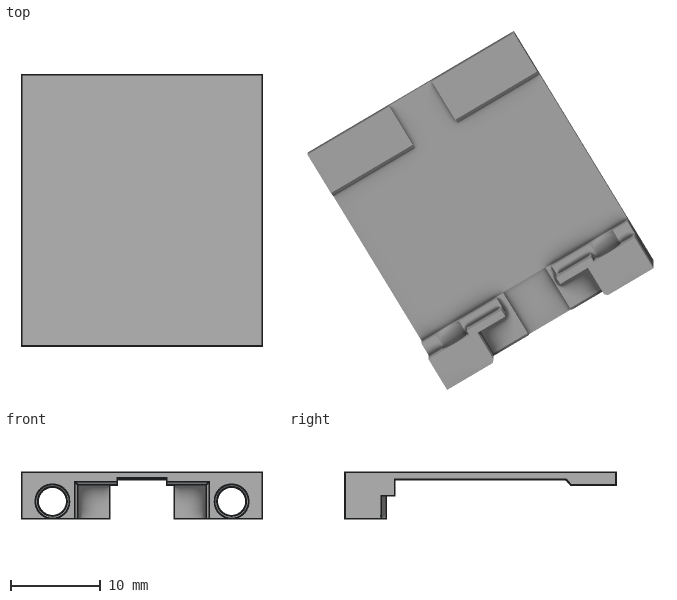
import cadquery as cq

width = 26.85
length = 30.3
height = 5.2
plate_thickness = 0.85

lip_depth = 1.45
lip_length = 5.05
ramp_length = 0.55

block_length = 4.05
shelf_end = 5.6
shelf_depth = 2.67

pocket_width = 14.35
pocket_length = 3.82
pocket_ceiling = 1.4
mouth_chamfer = 0.3
tab_gap = 7.15
tab_end = 4.65
tab_overlap = 0.9

channel_width = 5.5
channel_depth = 0.6

hole_diameter = 3.2
hole_inset = 3.42
hole_height = 1.95
hole_chamfer = 0.3


def box(x_start, x_end, y_start, y_end, z_bottom, z_top):
    """Box between the given limits."""
    return cq.Workplane("XY").box(
        x_end - x_start, y_end - y_start, z_top - z_bottom, centered=False
    ).translate((x_start, y_start, z_bottom))


def make_body():
    """Side profile of plate, lip, shelf and blocks, extruded across the width."""
    lip_start = length - lip_length
    profile = [
        (0, 0),
        (length, 0),
        (length, -lip_depth),
        (lip_start, -lip_depth),
        (lip_start - ramp_length, -plate_thickness),
        (shelf_end, -plate_thickness),
        (shelf_end, -shelf_depth),
        (block_length, -shelf_depth),
        (block_length, -height),
        (0, -height),
    ]
    return cq.Workplane("YZ").polyline(profile).close().extrude(width / 2, both=True)


def make_tab(side):
    """Stop tab reaching inwards from the block on one side."""
    inner = side * tab_gap / 2
    outer = side * (pocket_width / 2 + tab_overlap)
    return box(min(inner, outer), max(inner, outer), pocket_length, tab_end, -height, -plate_thickness)


def make_pocket():
    """Front pocket with a chamfered mouth along its sides and ceiling."""
    half = pocket_width / 2
    pocket = box(-half, half, 0, pocket_length, -height, -pocket_ceiling)
    mouth_height = height - pocket_ceiling + mouth_chamfer
    mouth = (
        cq.Workplane("XZ")
        .center(0, -height)
        .rect(pocket_width + 2 * mouth_chamfer, 2 * mouth_height)
        .workplane(offset=-mouth_chamfer)
        .rect(pocket_width, 2 * (mouth_height - mouth_chamfer))
        .loft(ruled=True)
    )
    return pocket.union(mouth)


def make_channel():
    """Central channel through the shelf, and the matching gap in the rear lip."""
    half = channel_width / 2
    front = box(-half, half, 0, shelf_end, -height, -channel_depth)
    rear = box(-half, half, shelf_end, length, -height, -plate_thickness)
    gap_half = tab_gap / 2
    between_tabs = box(-gap_half, gap_half, 0, shelf_end, -height, -pocket_ceiling)
    return front.union(rear).union(between_tabs)


def make_hole(side):
    """Through hole along Y with a chamfered front mouth."""
    x = side * (width / 2 - hole_inset)
    z = hole_height - height
    radius = hole_diameter / 2
    direction = cq.Vector(0, 1, 0)
    bore = cq.Solid.makeCylinder(radius, shelf_end, cq.Vector(x, 0, z), direction)
    mouth = cq.Solid.makeCone(
        radius + hole_chamfer, radius, hole_chamfer, cq.Vector(x, 0, z), direction
    )
    return cq.Workplane(obj=bore).union(cq.Workplane(obj=mouth))


result = make_body()
for side in (-1, 1):
    result = result.union(make_tab(side))
result = result.cut(make_pocket()).cut(make_channel())
for side in (-1, 1):
    result = result.cut(make_hole(side))